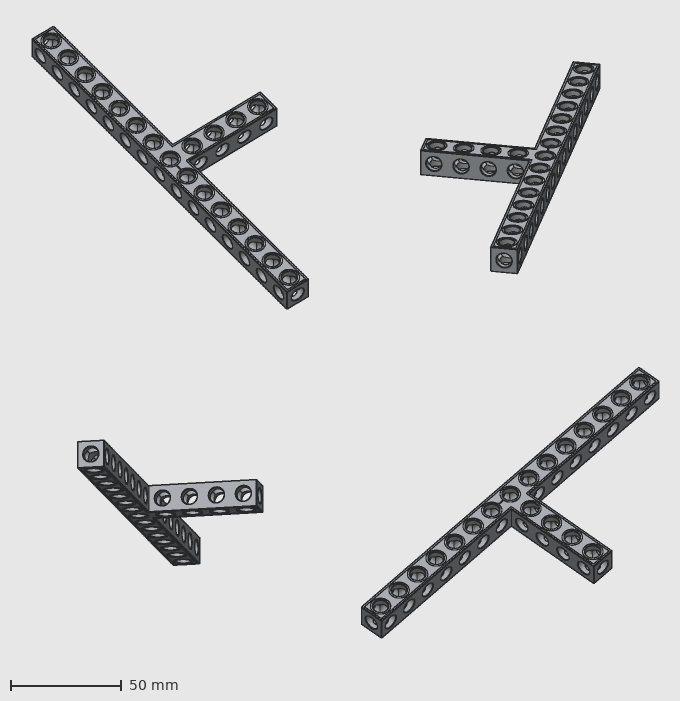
import cadquery as cq

bar_length = 187.5
bar_hole_count = 15
arm_hole_count = 5
rim_diameter = 9.2
border_width = 1.1
edge_chamfer = 0.3
recess_depth = 0.2
rib_width = 0.4
tolerance = 0.2

pitch = bar_length / bar_hole_count
half_pitch = pitch / 2
arm_reach = arm_hole_count * pitch
arm_x = bar_length / 2
hole_diameter = rim_diameter - 2 * border_width

bar_centers = [((i + 0.5) * pitch, half_pitch) for i in range(bar_hole_count)]
arm_centers = [(arm_x, (i + 0.5) * pitch) for i in range(1, arm_hole_count)]
centers = bar_centers + arm_centers


def tee(inset, bottom, height):
    """T-shaped slab whose outline lies `inset` inside the outline of the part."""
    bar = cq.Workplane("XY").box(bar_length - 2 * inset, pitch - 2 * inset, height, centered=False)
    arm = cq.Workplane("XY").box(pitch - 2 * inset, arm_reach - 2 * inset, height, centered=False)
    slab = bar.union(arm.translate((arm_x - half_pitch, 0, 0)))
    return slab.translate((inset, inset, bottom))


def chamfered_tee():
    """Full beam with every edge chamfered except the two inside corners of the T."""
    inside_corners = cq.selectors.BoxSelector(
        (arm_x - half_pitch - tolerance, pitch - tolerance, half_pitch - tolerance),
        (arm_x + half_pitch + tolerance, pitch + tolerance, half_pitch + tolerance),
    )
    return tee(0, 0, pitch).edges(-inside_corners).chamfer(edge_chamfer)


def recess(bottom):
    """Shallow T-shaped recess that spares a rim around each hole and one thin rib."""
    rims = (
        cq.Workplane("XY", origin=(0, 0, bottom))
        .pushPoints(centers)
        .circle(rim_diameter / 2)
        .extrude(recess_depth)
    )
    rib = (
        cq.Workplane("XY", origin=(arm_x + half_pitch, half_pitch, bottom))
        .rect(pitch, rib_width)
        .extrude(recess_depth)
    )
    return tee(border_width, bottom, recess_depth).cut(rims).cut(rib)


def hole(start, direction, length):
    """Cutter for a through hole with both mouths chamfered."""
    radius = hole_diameter / 2
    mouth_radius = radius + edge_chamfer
    axis = cq.Vector(*direction)
    near = cq.Vector(*start)
    far = near + axis * length
    cutter = cq.Workplane(cq.Solid.makeCylinder(radius, length, near, axis))
    for mouth, inward in ((near, axis), (far, -axis)):
        cone = cq.Solid.makeCone(mouth_radius, radius, edge_chamfer, mouth, inward)
        cutter = cutter.union(cq.Workplane(cone))
    return cutter


result = chamfered_tee()

for recess_bottom in (0, pitch - recess_depth):
    result = result.cut(recess(recess_bottom))

for x, y in centers:
    result = result.cut(hole((x, y, 0), (0, 0, 1), pitch))

for i, (x, _) in enumerate(bar_centers):
    depth = arm_reach if i == bar_hole_count // 2 else pitch
    result = result.cut(hole((x, 0, half_pitch), (0, 1, 0), depth))

for _, y in arm_centers:
    result = result.cut(hole((arm_x - half_pitch, y, half_pitch), (1, 0, 0), pitch))

result = result.cut(hole((0, half_pitch, half_pitch), (1, 0, 0), bar_length))